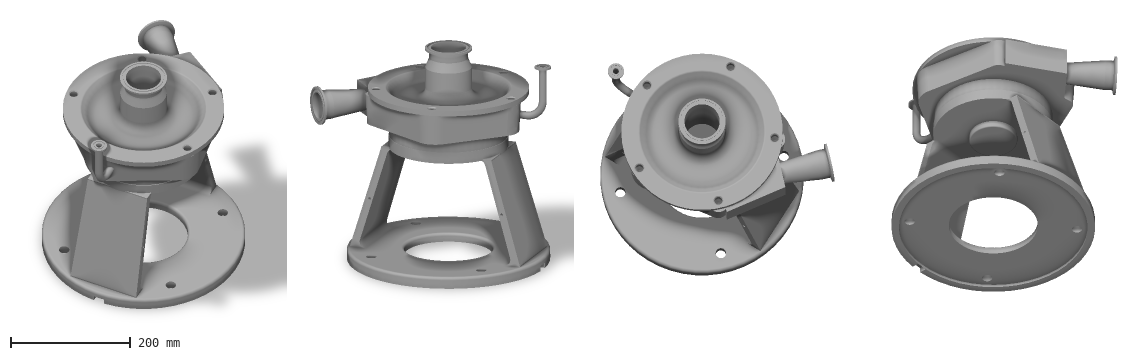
import cadquery as cq
import math

BASE_R = 169.97
BASE_H = 19.7
BASE_EDGE = 5.0
BASE_HOLE_R = 74.5
BASE_HOLE_ROUND = 5.0
BASE_RIM_WIDTH = 12.5
BASE_RECESS = 5.0
BASE_BOLT_SPACING = 198.0
BASE_BOLT_R = 8.5
NOTCH_WIDTH = 19.5
NOTCH_HEIGHT = 9.0
NOTCH_DEPTH = BASE_RIM_WIDTH

HUB_BOTTOM = 197.0
HUB_STEP = 216.2
HUB_LOWER_R = 100.5
HUB_UPPER_R = 99.0
BOSS_R = 40.08
BOSS_BOTTOM = 185.5
BOSS_EDGE = 2.0

LEG_TOP = 199.5
LEG_TOP_Y = 99.5
LEG_FOOT_Y = 153.0
LEG_THICKNESS = 13.5
LEG_LAND = 2.0
LEG_TOP_HALF_WIDTH = 55.0
LEG_FOOT_HALF_WIDTH = 61.0
LEG_FILLET = 10.5
LEG_HOLE_R = 2.5
LEG_HOLE_Y = 119.0
LEG_HOLE_Z = 106.5

CASING_BOTTOM = 239.5
CASING_TOP = 291.0
CASING_INRADIUS = 113.5
CASING_TOP_INRADIUS = 116.0
CASING_ROUND = 34.0
OUTLET_SIDE_ROUND = 16.5
CASING_SIDES = 5
FIRST_CORNER = 45
WEDGE_TIP = (5.0, 167.5)
WEDGE_WALL_END = (93.5, 107.3)
WEDGE_FACE_RUN = 61.5

FLANGE_R = 135.0
FLANGE_TOP = 300.0
DISH_RIM_R = 105.0
DISH_RIM_ROUND = 4.0
DISH_DEPTH = 15.5
DISH_ROUND = 14.5
COVER_BOLT_CIRCLE_R = 121.88
COVER_BOLT_R = 6.5
COVER_BOLT_CHAMFER = 1.5
COVER_BOLT_DEPTH = 12.5
COVER_BOLT_TIP = 4.0

FERRULE_RIM = 3.3
FERRULE_CONE = 2.0
GROOVE_WIDTH = 3.0
GROOVE_DEPTH = 1.2
GROOVE_MARGIN = 3.3

INLET_R = 39.0
INLET_NECK_R = 32.5
INLET_BORE_R = 29.4
INLET_ROOT = 15.0
INLET_TOP = 369.0
INLET_SHOULDER = 335.5
INLET_NECK = 351.5
INLET_FERRULE_R = 39.5

OUTLET_ANGLE = 135
OUTLET_Z = 265.0
OUTLET_OFFSET = 91.0
OUTLET_END = 199.0
OUTLET_CONE_END = 179.2
OUTLET_ROOT_R = 17.5
OUTLET_R = 24.5
OUTLET_WALL = 2.5
OUTLET_BORE_CONE_END = 183.5
OUTLET_FERRULE_R = 32.25

TUBE_R = 6.5
TUBE_BORE_R = 5.0
TUBE_Y = -169.8
TUBE_Z = 266.8
TUBE_BEND = 28.8
TUBE_TOP = 356.0
TUBE_ROOT_Y = -123.5
TUBE_FERRULE_R = 13.5


def disc(radius, bottom, top):
    return cq.Workplane("XY").workplane(offset=bottom).circle(radius).extrude(top - bottom)


def polar(radius, degrees):
    angle = math.radians(degrees)
    return (radius * math.cos(angle), radius * math.sin(angle))


def prism(plane, outline, half_length):
    return cq.Workplane(plane).polyline(outline).close().extrude(half_length, both=True)


def leg_outline(foot_half, top_half):
    """Trapezoid from base to hub with short upright lands at the foot and the top."""
    left = [
        (-foot_half, BASE_H),
        (-foot_half, BASE_H + LEG_LAND),
        (-top_half, LEG_TOP - LEG_LAND),
        (-top_half, LEG_TOP),
    ]
    right = [(-across, height) for across, height in reversed(left)]
    return left + right


def make_base():
    """Ring plate standing on a narrow outer rim, with one notch through the rim."""
    ring = disc(BASE_R, 0, BASE_H).cut(disc(BASE_HOLE_R, 0, BASE_H))
    ring = ring.faces(">Z").edges(cq.selectors.RadiusNthSelector(1)).fillet(BASE_EDGE)
    ring = ring.faces(">Z").edges(cq.selectors.RadiusNthSelector(0)).fillet(BASE_HOLE_ROUND)
    recess = disc(BASE_R - BASE_RIM_WIDTH, 0, BASE_RECESS)
    bolts = (
        cq.Workplane("XY")
        .rect(BASE_BOLT_SPACING, BASE_BOLT_SPACING, forConstruction=True)
        .vertices()
        .circle(BASE_BOLT_R)
        .extrude(BASE_H)
    )
    notch = (
        cq.Workplane("XY")
        .box(NOTCH_WIDTH, 2 * NOTCH_DEPTH, NOTCH_HEIGHT, centered=(True, True, False))
        .translate((0, -BASE_R, 0))
    )
    return ring.cut(recess).cut(bolts).cut(notch)


def make_legs():
    """Both leaning legs: a tapered block with a round-cornered window cut through along X."""
    foot_y = LEG_FOOT_Y - LEG_THICKNESS
    top_y = LEG_TOP_Y - LEG_THICKNESS
    window_outline = [(-foot_y, BASE_H), (-top_y, HUB_BOTTOM), (top_y, HUB_BOTTOM), (foot_y, BASE_H)]
    window = prism("YZ", window_outline, BASE_R)
    window = window.edges("|X").fillet(LEG_FILLET)
    side = prism("YZ", leg_outline(LEG_FOOT_Y, LEG_TOP_Y), BASE_R)
    front = prism("XZ", leg_outline(LEG_FOOT_HALF_WIDTH, LEG_TOP_HALF_WIDTH), BASE_R)
    holes = (
        cq.Workplane("YZ")
        .pushPoints([(-LEG_HOLE_Y, LEG_HOLE_Z), (LEG_HOLE_Y, LEG_HOLE_Z)])
        .circle(LEG_HOLE_R)
        .extrude(BASE_R, both=True)
    )
    return side.intersect(front).cut(window).cut(holes)


def make_hub():
    boss = disc(BOSS_R, BOSS_BOTTOM, HUB_STEP).faces("<Z").edges().fillet(BOSS_EDGE)
    lower = disc(HUB_LOWER_R, HUB_BOTTOM, HUB_STEP)
    upper = disc(HUB_UPPER_R, HUB_STEP, CASING_BOTTOM)
    return lower.union(upper).union(boss)


def corner_angles():
    return [FIRST_CORNER + 360 / CASING_SIDES * i for i in range(CASING_SIDES)]


def pentagon(inradius):
    corner_r = inradius / math.cos(math.pi / CASING_SIDES)
    return [polar(corner_r, angle) for angle in corner_angles()]


def make_casing():
    """Drafted pentagon with rounded corners, and the wedge that carries the outlet."""
    height = CASING_TOP - CASING_BOTTOM
    body = (
        cq.Workplane("XY")
        .workplane(offset=CASING_BOTTOM)
        .polyline(pentagon(CASING_INRADIUS))
        .close()
        .workplane(offset=height)
        .polyline(pentagon(CASING_TOP_INRADIUS))
        .close()
        .loft(ruled=True)
    )
    low = CASING_BOTTOM + 4
    high = CASING_TOP - 4
    split_y = CASING_INRADIUS / 2
    far = 2 * CASING_INRADIUS
    other_corners = cq.selectors.BoxSelector((-far, -far, low), (far, split_y, high))
    outlet_corners = cq.selectors.BoxSelector((-far, split_y, low), (far, far, high))
    body = body.edges(other_corners).fillet(CASING_ROUND)
    body = body.edges(outlet_corners).fillet(OUTLET_SIDE_ROUND)

    face_end = (WEDGE_TIP[0] - WEDGE_FACE_RUN, WEDGE_TIP[1] - WEDGE_FACE_RUN)
    wedge = (
        cq.Workplane("XY")
        .workplane(offset=CASING_BOTTOM)
        .polyline([WEDGE_TIP, face_end, (0, 0), WEDGE_WALL_END])
        .close()
        .extrude(height)
    )
    return body.union(wedge)


def ferrule_profile(pipe_r, ferrule_r, end):
    """Outer (radius, length) points of a clamp ferrule with a ring groove in its end face."""
    rim = end - FERRULE_RIM
    groove_outer_r = ferrule_r - GROOVE_MARGIN
    groove_inner_r = groove_outer_r - GROOVE_WIDTH
    return [
        (pipe_r, rim - FERRULE_CONE),
        (ferrule_r, rim),
        (ferrule_r, end),
        (groove_outer_r, end),
        (groove_outer_r, end - GROOVE_DEPTH),
        (groove_inner_r, end - GROOVE_DEPTH),
        (groove_inner_r, end),
        (0, end),
    ]


def revolve_profile(profile):
    return profile.close().revolve(360, (0, 0, 0), (0, 1, 0))


def make_cover():
    """Flange, dished centre and inlet pipe turned as one profile."""
    floor = FLANGE_TOP - DISH_DEPTH
    half_root = math.sqrt(0.5)
    arc_rise = DISH_ROUND * (1 - half_root)
    wall_end_r = DISH_RIM_R - (DISH_DEPTH - arc_rise)
    flat_r = wall_end_r - DISH_ROUND * half_root
    arc_middle = (
        flat_r + DISH_ROUND * math.sin(math.pi / 8),
        floor + DISH_ROUND * (1 - math.cos(math.pi / 8)),
    )
    rim_run = DISH_RIM_ROUND * math.tan(math.pi / 8)
    rim_drop = rim_run * half_root
    rim_middle = (
        DISH_RIM_R + rim_run - DISH_RIM_ROUND * math.sin(math.pi / 8),
        FLANGE_TOP - DISH_RIM_ROUND * (1 - math.cos(math.pi / 8)),
    )
    root_inset = INLET_ROOT * (1 - half_root)
    profile = (
        cq.Workplane("XZ")
        .moveTo(0, CASING_TOP - DISH_DEPTH)
        .lineTo(DISH_RIM_R, CASING_TOP - DISH_DEPTH)
        .lineTo(DISH_RIM_R, CASING_TOP)
        .lineTo(FLANGE_R, CASING_TOP)
        .lineTo(FLANGE_R, FLANGE_TOP)
        .lineTo(DISH_RIM_R + rim_run, FLANGE_TOP)
        .threePointArc(rim_middle, (DISH_RIM_R - rim_drop, FLANGE_TOP - rim_drop))
        .lineTo(wall_end_r, floor + arc_rise)
        .threePointArc(arc_middle, (flat_r, floor))
        .lineTo(INLET_R + INLET_ROOT, floor)
        .threePointArc((INLET_R + root_inset, floor + root_inset), (INLET_R, floor + INLET_ROOT))
        .lineTo(INLET_R, INLET_SHOULDER)
        .lineTo(INLET_NECK_R, INLET_NECK)
    )
    for point in ferrule_profile(INLET_NECK_R, INLET_FERRULE_R, INLET_TOP):
        profile = profile.lineTo(*point)
    return revolve_profile(profile)


def make_cover_bolt_holes():
    """Blind holes over the casing corners, chamfered at the mouth and pointed at the bottom."""
    mouth_r = COVER_BOLT_R + COVER_BOLT_CHAMFER
    profile = cq.Workplane("XZ").polyline([
        (0, FLANGE_TOP),
        (mouth_r, FLANGE_TOP),
        (COVER_BOLT_R, FLANGE_TOP - COVER_BOLT_CHAMFER),
        (COVER_BOLT_R, FLANGE_TOP - COVER_BOLT_DEPTH),
        (0, FLANGE_TOP - COVER_BOLT_DEPTH - COVER_BOLT_TIP),
    ])
    hole = revolve_profile(profile)
    holes = cq.Workplane("XY")
    for angle in corner_angles():
        x, y = polar(COVER_BOLT_CIRCLE_R, angle)
        holes = holes.add(hole.translate((x, y, 0)))
    return holes.combine()


def outlet_workplane():
    """Plane through the outlet centre line; its X is the radius and its Y runs outwards."""
    along_x, along_y = polar(1, OUTLET_ANGLE)
    centre_x, centre_y = polar(OUTLET_OFFSET, OUTLET_ANGLE - 90)
    return cq.Workplane(cq.Plane(
        origin=(centre_x, centre_y, OUTLET_Z),
        xDir=(0, 0, 1),
        normal=(-along_y, along_x, 0),
    ))


def make_outlet():
    outline = [(0, CASING_INRADIUS), (OUTLET_ROOT_R, CASING_INRADIUS), (OUTLET_R, OUTLET_CONE_END)]
    outline += ferrule_profile(OUTLET_R, OUTLET_FERRULE_R, OUTLET_END)
    return revolve_profile(outlet_workplane().polyline(outline))


def make_outlet_bore():
    root_r = OUTLET_ROOT_R - OUTLET_WALL
    mouth_r = OUTLET_R - OUTLET_WALL
    return revolve_profile(outlet_workplane().polyline([
        (0, CASING_INRADIUS),
        (root_r, CASING_INRADIUS),
        (mouth_r, OUTLET_BORE_CONE_END),
        (mouth_r, OUTLET_END),
        (0, OUTLET_END),
    ]))


def make_bent_rod(radius, root_y):
    """Round rod that leaves the casing towards -Y and bends upwards."""
    bend_start_y = TUBE_Y + TUBE_BEND
    bend_inset = TUBE_BEND * (1 - math.sqrt(0.5))
    path = (
        cq.Workplane("YZ")
        .moveTo(root_y, TUBE_Z)
        .lineTo(bend_start_y, TUBE_Z)
        .threePointArc(
            (TUBE_Y + bend_inset, TUBE_Z + bend_inset),
            (TUBE_Y, TUBE_Z + TUBE_BEND),
        )
        .lineTo(TUBE_Y, TUBE_TOP)
    )
    return cq.Workplane("XZ", origin=(0, root_y, TUBE_Z)).circle(radius).sweep(path)


def make_vent():
    outline = ferrule_profile(TUBE_R, TUBE_FERRULE_R, TUBE_TOP)
    underside = (0, outline[0][1])
    ferrule = revolve_profile(cq.Workplane("XZ").polyline([underside] + outline))
    return make_bent_rod(TUBE_R, TUBE_ROOT_Y).union(ferrule.translate((0, TUBE_Y, 0)))


dish_space = disc(DISH_RIM_R, FLANGE_TOP - DISH_DEPTH, CASING_TOP)
inlet_bore = disc(INLET_BORE_R, CASING_BOTTOM, INLET_TOP)

result = (
    make_base()
    .union(make_legs())
    .union(make_hub())
    .union(make_casing().cut(dish_space))
    .union(make_cover())
    .union(make_outlet())
    .union(make_vent())
    .cut(inlet_bore)
    .cut(make_outlet_bore())
    .cut(make_cover_bolt_holes())
    .cut(make_bent_rod(TUBE_BORE_R, TUBE_ROOT_Y))
)